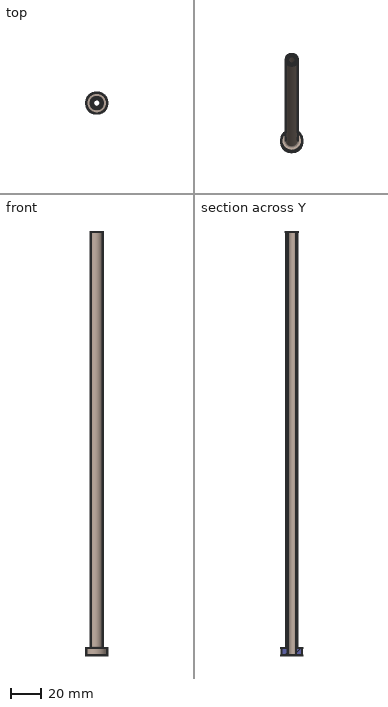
import cadquery as cq

total_length = 280.0
head_diameter = 14.0
head_height = 5.0
shaft_diameter = 8.0
bore_diameter = 5.0
neck_fillet_radius = 0.5

head_radius = head_diameter / 2
shaft_radius = shaft_diameter / 2
bore_radius = bore_diameter / 2
neck_outer_radius = shaft_radius + neck_fillet_radius
neck_top = head_height + neck_fillet_radius


def sleeve_section():
    """Half section of the tubular shaft, its head and the rounded neck between them (X = radius, Y = height)."""
    return (
        cq.Workplane("XZ")
        .moveTo(bore_radius, 0)
        .lineTo(head_radius, 0)
        .lineTo(head_radius, head_height)
        .lineTo(neck_outer_radius, head_height)
        .radiusArc((shaft_radius, neck_top), neck_fillet_radius)
        .lineTo(shaft_radius, total_length)
        .lineTo(bore_radius, total_length)
        .close()
    )


def headed_sleeve():
    """Revolve the section about Z, with the through bore left open."""
    axis_start = (0, 0)
    axis_end = (0, 1)
    return sleeve_section().revolve(360, axis_start, axis_end)


result = headed_sleeve()